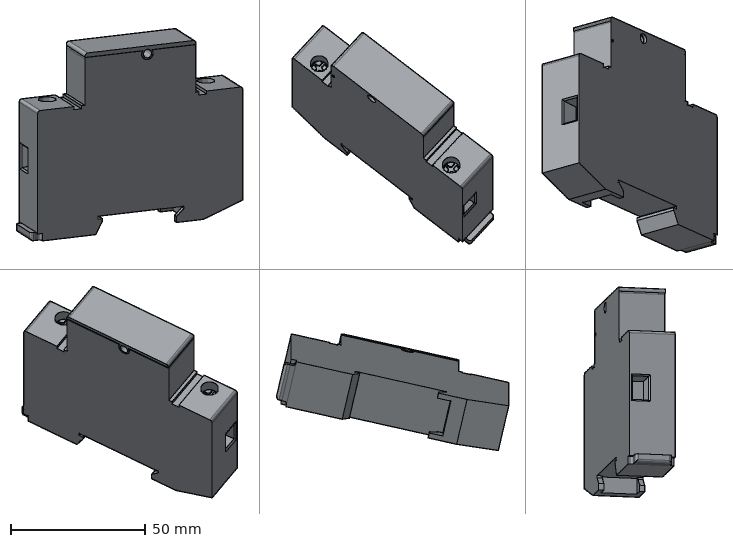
import cadquery as cq
import math

body_width = 17.5
body_length = 83.1
mid_y = body_length / 2
shoulder_z = 50.6
edge_radius = 1.1

total_height = 70.8
head_length = 45.0
head_front_y = mid_y - head_length / 2
head_rear_y = mid_y + head_length / 2
cap_overhang = 0.25
seam_low_z = 68.5
cap_bottom_z = (seam_low_z + total_height - edge_radius) / 2

groove_offset = 1.4
groove_width = 3.1
groove_depth = 1.2

seat_z = 7.0
rear_corner_z = 6.7
heel_z = 1.0
heel_y = 67.1
hook_tip_y = 56.3
hook_tip_z = 3.4
hook_root_y = 59.2
hook_root_z = 6.1
hook_cheek = 2.0
hook_gap_length = 5.1
foot_neck_y = 24.5
foot_lip_y = 26.2
foot_lip_top_z = 6
foot_lip_low_z = 4.9
foot_heel_y = 23.5

tab_reach = 2.2
tab_left_x = 1.9
tab_right_x = 15.9
tab_height = 3.15
tab_notch_height = 2.9
tab_notch_y = 2.0

seal_y = 44.4
seal_z = 67.8
seal_radius = 1.6
seal_bore_radius = 1.9
seal_bore_depth = 1.3
boss_radius = 2.3

pin_y = 63.05
pin_z = 61.4
pin_radius = 0.5
pin_depth = 0.25

screw_x = 4.5
screw_inset = 9.4
bore_radius = 3.2
bore_depth = 4.4
screw_radius = 2.7
recess_depth = 0.8
slot_width = 1.0
cross_width = 0.8
cross_floor_reach = 1.9
cross_top_reach = 2.5
star_half_width = 0.85
star_reach = 1.3

entry_left_x = 0.8
entry_right_x = 8.1
entry_low_z = 23.7
entry_high_z = 33.9
entry_corner_radius = 0.6
entry_chamfer = 0.6
entry_depth = 6.8
entry_draft = 0.8

ARC_MIDDLE = math.sqrt(0.5)


def prism_x(outline, start_x, end_x):
    """Extrude a closed YZ outline from start_x to end_x."""
    return outline.extrude(end_x - start_x).translate((start_x, 0, 0))


def mirror_ends(solid):
    """Copy a solid to the other end of the housing."""
    return solid.mirror("XZ", (0, mid_y, 0))


def make_body():
    outline = cq.Workplane("YZ").polyline([
        (0, 0),
        (0, shoulder_z),
        (head_front_y, shoulder_z),
        (head_front_y, total_height),
        (head_rear_y, total_height),
        (head_rear_y, shoulder_z),
        (body_length, shoulder_z),
        (body_length, rear_corner_z),
        (heel_y, heel_z),
        (hook_tip_y, heel_z),
        (hook_tip_y, hook_tip_z),
        (hook_root_y, hook_root_z),
        (hook_root_y, seat_z),
        (foot_neck_y, seat_z),
        (foot_neck_y, foot_lip_top_z),
        (foot_lip_y, foot_lip_top_z),
        (foot_lip_y, foot_lip_low_z),
        (foot_heel_y, 0),
    ]).close()
    body = prism_x(outline, 0, body_width)
    for y in (0, body_length):
        body = body.edges(cq.selectors.NearestToPointSelector((body_width / 2, y, shoulder_z)))
        body = body.fillet(edge_radius)
    hook_gap = cq.Workplane("XY").box(
        body_width - 2 * hook_cheek, hook_gap_length, seat_z, centered=False
    ).translate((hook_cheek, hook_tip_y, 0))
    return body.cut(hook_gap)


def make_cap_overhang():
    cap_height = total_height - cap_bottom_z
    cap = cq.Workplane("XY").box(cap_overhang, head_length, cap_height, centered=False)
    cap = cap.translate((body_width, head_front_y, cap_bottom_z))
    boss = cq.Workplane("YZ").center(seal_y, seal_z).circle(boss_radius)
    return cap.union(prism_x(boss, body_width, body_width + cap_overhang))


def round_cap(part):
    return part.faces(">Z").edges("<Y or >Y").fillet(edge_radius)


def make_cap_seam():
    """Cusp between the round end of the cap and the rounded top edge of the head below it."""
    cap_center_z = total_height - edge_radius
    half_height = (cap_center_z - seam_low_z) / 2
    cusp_angle = math.asin(half_height / edge_radius)

    def arc_point(angle, center_z, side):
        return (
            head_front_y + edge_radius * (1 - math.cos(angle)),
            center_z + side * edge_radius * math.sin(angle),
        )

    outline = (
        cq.Workplane("YZ")
        .moveTo(head_front_y, seam_low_z)
        .threePointArc(
            arc_point(cusp_angle / 2, seam_low_z, 1),
            arc_point(cusp_angle, seam_low_z, 1),
        )
        .threePointArc(
            arc_point(cusp_angle / 2, cap_center_z, -1),
            (head_front_y, cap_center_z),
        )
        .close()
    )
    return prism_x(outline, 0, body_width + cap_overhang)


def make_shoulder_groove():
    near_y = head_front_y - groove_offset
    groove = cq.Workplane("XY").box(body_width, groove_width, groove_depth, centered=False)
    return groove.translate((0, near_y - groove_width, shoulder_z - groove_depth))


def make_screw_bore():
    """Round bore whose floor carries the four quarters of a slotted cross-head screw."""
    bore = cq.Workplane("XY").circle(bore_radius).extrude(-bore_depth)
    floor = cq.Workplane("XY").workplane(offset=-bore_depth)
    head = floor.circle(screw_radius).extrude(recess_depth)
    slot = floor.rect(2 * bore_radius, slot_width).extrude(recess_depth)
    star = floor.polyline([
        (-star_half_width, slot_width / 2),
        (-cross_width / 2, star_reach),
        (cross_width / 2, star_reach),
        (star_half_width, slot_width / 2),
        (star_half_width, -slot_width / 2),
        (cross_width / 2, -star_reach),
        (-cross_width / 2, -star_reach),
        (-star_half_width, -slot_width / 2),
    ]).close().extrude(recess_depth)
    cross_profile = cq.Workplane("YZ").polyline([
        (-cross_floor_reach, -bore_depth),
        (cross_floor_reach, -bore_depth),
        (cross_top_reach, recess_depth - bore_depth),
        (-cross_top_reach, recess_depth - bore_depth),
    ]).close()
    cross = prism_x(cross_profile, -cross_width / 2, cross_width / 2)
    head = head.cut(slot).cut(star).cut(cross)
    return bore.cut(head).translate((screw_x, screw_inset, shoulder_z))


def make_wire_entry():
    """Drafted pocket with a chamfered mouth, entered from the front face."""
    width = entry_right_x - entry_left_x
    height = entry_high_z - entry_low_z
    center_x = (entry_left_x + entry_right_x) / 2
    center_z = (entry_low_z + entry_high_z) / 2

    def frustum(start_y, length, start_inset, inset_gain):
        """Rectangular frustum that narrows by inset_gain per side over its length."""
        start_width = width - 2 * start_inset
        start_height = height - 2 * start_inset
        return (
            cq.Workplane("XZ", origin=(center_x, start_y, center_z))
            .rect(start_width, start_height)
            .workplane(offset=-length)
            .rect(start_width - 2 * inset_gain, start_height - 2 * inset_gain)
            .loft()
        )

    mouth = frustum(0, entry_chamfer, 0, entry_chamfer)
    pocket = frustum(entry_chamfer, entry_depth - entry_chamfer, entry_chamfer, entry_draft)
    rounded_limit = (
        cq.Workplane("XZ", origin=(center_x, 0, center_z))
        .rect(width, height)
        .extrude(-entry_depth)
        .edges("|Y and >X")
        .fillet(entry_corner_radius)
    )
    return mouth.union(pocket).intersect(rounded_limit)


def make_pull_tab():
    block = (
        cq.Workplane("XY")
        .box(tab_right_x - tab_left_x, tab_reach + tab_notch_y, tab_height, centered=False)
        .translate((tab_left_x, -tab_reach, 0))
    )
    rounded_ends = block.edges("|Z and <Y").fillet(edge_radius)
    rounded_toe = block.edges("|X and <Y and <Z").fillet(edge_radius)
    return rounded_ends.intersect(rounded_toe)


def make_tab_notch(outer_x, wall_x):
    """Clearance beside the pull tab, from the side face to the tab, with a round inner corner."""
    inward = math.copysign(edge_radius, wall_x - outer_x)
    outline = (
        cq.Workplane("XY")
        .moveTo(outer_x, 0)
        .lineTo(wall_x, 0)
        .lineTo(wall_x, tab_notch_y - edge_radius)
        .threePointArc(
            (wall_x - inward * (1 - ARC_MIDDLE), tab_notch_y - edge_radius * (1 - ARC_MIDDLE)),
            (wall_x - inward, tab_notch_y),
        )
        .lineTo(outer_x, tab_notch_y)
        .close()
    )
    return outline.extrude(tab_notch_height)


def make_seal_hole():
    center = cq.Workplane("YZ").center(seal_y, seal_z)
    hole = prism_x(center.circle(seal_radius), 0, body_width + cap_overhang)
    return hole.union(prism_x(center.circle(seal_bore_radius), 0, seal_bore_depth))


def make_pin_hole():
    return prism_x(cq.Workplane("YZ").center(pin_y, pin_z).circle(pin_radius), 0, pin_depth)


result = round_cap(make_body().union(make_cap_overhang()))
for cutter in (make_cap_seam(), make_shoulder_groove(), make_screw_bore(), make_wire_entry()):
    result = result.cut(cutter).cut(mirror_ends(cutter))
result = result.cut(make_tab_notch(0, tab_left_x)).cut(make_tab_notch(body_width, tab_right_x))
result = result.union(make_pull_tab())
result = result.cut(make_seal_hole()).cut(make_pin_hole())